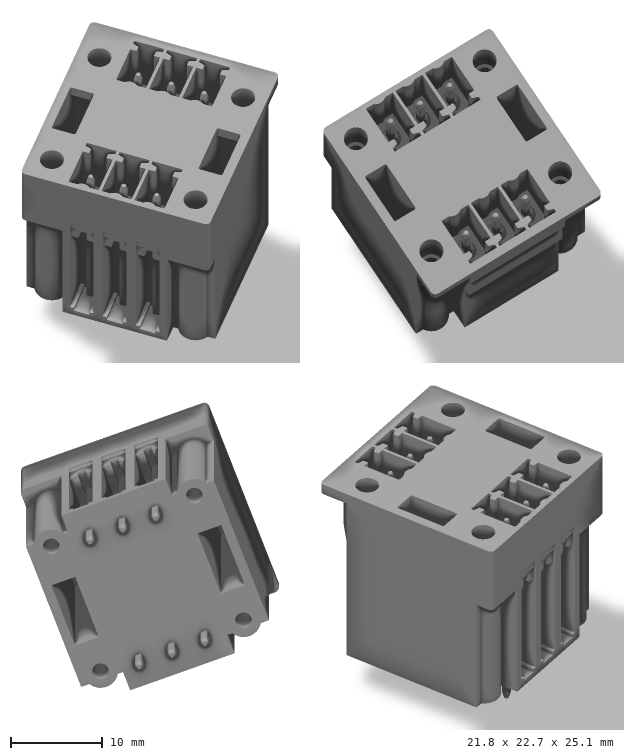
import cadquery as cq


width = 21.8
depth = 22.7
height = 21.8
pin_drop = 3.3
corner_radius = 0.55
flange_thickness = 1.28
flange_bottom = height - flange_thickness

pitch = 3.82
row_spacing = 4 * pitch
front_row_y = 2.9
rear_row_y = front_row_y + row_spacing
row_ys = (front_row_y, rear_row_y)
column_xs = (-pitch, 0, pitch)

side_front_y = 2.03
side_rear_y = 19.13
overhang_bottom = 13.9
centre_width = 12.1
centre_rear_y = 21.35
rear_rib_y = 22.25
rear_rib_bottom = 12.65
rear_lip_bottom = 18.27
rear_rib_radius = 0.58
rear_lip_radius = 0.2

screw_x = 8.3
boss_radius = 1.9
head_boss_radius = 2.59
head_boss_bottom = 16.82
taper_bottom = 11.7
screw_hole_radius = 0.9
counterbore_radius = 1.3

window_width = 2.75
window_length = 6.1
window_x = 8.48
window_y = 10.15
window_radius = 0.2
window_undercut = 1.25

pocket_floor = 14.73
pocket_half_width = 1.73
pocket_front = 2.3
pocket_back = 3.51
key_reach = 0.73
key_back_at_wall = 0.4
key_back_at_tip = 0.65
key_front = 1.28
bump_half_width = 0.73
bump_height = 0.28
cone_base_radius = 1.15
cone_shoulder_radius = 0.85
cone_top_radius = 0.68
cone_shoulder_height = 0.6
cone_height = 0.75

slot_width = 2.75
slot_bottom = 1.15
slot_top = 15.59
ledge_bottom = 14.73
ledge_depth = 0.13
slot_ceiling = 12.95
recess_depth = 0.35
groove_width = 1.83
groove_bottom = 0.73
notch_width = 0.9
notch_top = 14.15
notch_chamfer = 0.18

pin_width = 0.78
pin_length = 0.85
pin_chamfer = 0.13
pin_top = 20.8
tip_height = 0.8
tip_radius = 0.25
tip_base_radius = 0.5
pin_gap = 0.23
slot_depth = front_row_y + pin_length / 2 + pin_gap


def block(x_centre, x_size, y_front, y_back, z_bottom, z_top):
    """Box centred in X and given by its limits in Y and Z."""
    size_y = y_back - y_front
    size_z = z_top - z_bottom
    corner = (x_centre - x_size / 2, y_front, z_bottom)
    return cq.Workplane("XY").box(x_size, size_y, size_z, centered=False).translate(corner)


def cylinder(x, y, radius, z_bottom, z_top):
    base = cq.Workplane("XY", origin=(x, y, z_bottom))
    return base.circle(radius).extrude(z_top - z_bottom)


def cone(x, y, bottom_radius, top_radius, z_bottom, z_top):
    """Upright truncated cone."""
    solid = cq.Solid.makeCone(
        bottom_radius, top_radius, z_top - z_bottom, pnt=cq.Vector(x, y, z_bottom)
    )
    return cq.Workplane("XY").newObject([solid])


def pin_bar(x, y, z_bottom, z_top):
    """Rectangular bar with chamfered corners, the section shared by a pin and its hole."""
    base = cq.Workplane("XY", origin=(x, y, z_bottom))
    return base.rect(pin_width, pin_length).extrude(z_top - z_bottom).edges("|Z").chamfer(pin_chamfer)


def make_shell():
    """Outer walls: side walls, flange, overhanging front block and centre block."""
    sides = block(0, width, side_front_y, side_rear_y, 0, height)
    flange = block(0, width, 0, depth, flange_bottom, height).edges("|Z").fillet(corner_radius)
    front_block = block(0, width, 0, side_rear_y, overhang_bottom, height)
    front_block = front_block.edges("|Z and <Y").fillet(corner_radius)
    centre = block(0, centre_width, 0, centre_rear_y, 0, height)
    rib = block(0, centre_width, side_rear_y, rear_rib_y, rear_rib_bottom, height)
    rib = rib.edges("|X and >Y and <Z").fillet(rear_rib_radius)
    lip = block(0, centre_width, side_rear_y, depth, rear_lip_bottom, height)
    lip = lip.edges("|X and >Y and <Z").fillet(rear_lip_radius)
    return sides.union(flange).union(front_block).union(centre).union(rib).union(lip)


def add_screw_bosses(body):
    for x in (-screw_x, screw_x):
        for y in row_ys:
            body = body.union(cylinder(x, y, boss_radius, 0, flange_bottom))
        body = body.union(cone(x, rear_row_y, boss_radius, head_boss_radius, taper_bottom, head_boss_bottom))
        body = body.union(cylinder(x, rear_row_y, head_boss_radius, head_boss_bottom, flange_bottom))
    return body


def cut_screw_holes(body):
    for x in (-screw_x, screw_x):
        for y in row_ys:
            body = body.cut(cylinder(x, y, screw_hole_radius, 0, height))
            body = body.cut(cylinder(x, y, counterbore_radius, head_boss_bottom, height))
    return body


def cut_windows(body):
    """Side windows, rounded in the flange and running on below it as longer sharp-cornered shafts."""
    front = window_y - window_length / 2
    back = window_y + window_length / 2
    for x in (-window_x, window_x):
        in_flange = block(x, window_width, front, back, flange_bottom, height)
        body = body.cut(in_flange.edges("|Z").fillet(window_radius))
        body = body.cut(block(x, window_width, front, back + window_undercut, 0, flange_bottom))
    return body


def make_pocket(x, y):
    """Keyed plug pocket around one pin, leaving a two-step cone standing around the pin hole."""
    key_x = pocket_half_width - key_reach
    outline = (
        cq.Workplane("XY", origin=(x, y, pocket_floor))
        .moveTo(-pocket_half_width, -pocket_front)
        .lineTo(-bump_half_width, -pocket_front)
        .threePointArc((0, bump_height - pocket_front), (bump_half_width, -pocket_front))
        .lineTo(pocket_half_width, -pocket_front)
        .lineTo(pocket_half_width, pocket_back - key_front)
        .lineTo(key_x, pocket_back - key_front)
        .lineTo(key_x, pocket_back - key_back_at_tip)
        .lineTo(pocket_half_width, pocket_back - key_back_at_wall)
        .lineTo(pocket_half_width, pocket_back)
        .lineTo(-pocket_half_width, pocket_back)
        .lineTo(-pocket_half_width, pocket_back - key_back_at_wall)
        .lineTo(-key_x, pocket_back - key_back_at_tip)
        .lineTo(-key_x, pocket_back - key_front)
        .lineTo(-pocket_half_width, pocket_back - key_front)
        .close()
    )
    pocket = outline.extrude(height - pocket_floor)
    shoulder = pocket_floor + cone_shoulder_height
    top = pocket_floor + cone_height
    flank = cone(x, y, cone_base_radius, cone_shoulder_radius, pocket_floor, shoulder)
    crown = cone(x, y, cone_shoulder_radius, cone_top_radius, shoulder, top)
    return pocket.cut(flank.union(crown))


def make_slot(x):
    """Front slot: deep lower part, stepped recess above it, floor groove and pin notch."""
    slot = block(x, slot_width, 0, slot_depth, slot_bottom, slot_ceiling)
    slot = slot.union(block(x, slot_width, 0, recess_depth, slot_bottom, ledge_bottom))
    slot = slot.union(block(x, slot_width, 0, ledge_depth, slot_bottom, slot_top))
    slot = slot.union(block(x, groove_width, 0, slot_depth, groove_bottom, slot_ceiling))
    half_notch = notch_width / 2
    half_mouth = half_notch + notch_chamfer
    notch = (
        cq.Workplane("XZ", origin=(x, 0, slot_ceiling))
        .moveTo(-half_mouth, 0)
        .lineTo(half_mouth, 0)
        .lineTo(half_notch, notch_chamfer)
        .lineTo(half_notch, notch_top - slot_ceiling)
        .lineTo(-half_notch, notch_top - slot_ceiling)
        .lineTo(-half_notch, notch_chamfer)
        .close()
        .extrude(-slot_depth)
    )
    return slot.union(notch)


def make_pin_hole(x, y):
    """Close-fitting hole for one pin, with a gap behind it through the pocket floor."""
    hole = pin_bar(x, y, 0, height)
    gap_back = y + pin_length / 2 + pin_gap
    return hole.union(block(x, notch_width, y + pin_length / 2, gap_back, slot_ceiling, height))


def make_housing():
    body = cut_windows(cut_screw_holes(add_screw_bosses(make_shell())))
    for x in column_xs:
        body = body.cut(make_slot(x))
        for y in row_ys:
            body = body.cut(make_pocket(x, y))
            body = body.cut(make_pin_hole(x, y))
    return body


def make_pin(x, y):
    """Straight contact pin with a conical tip at each end."""
    bar = pin_bar(x, y, -pin_drop, pin_top)
    lower_tip = cone(x, y, tip_radius, tip_base_radius, -pin_drop, tip_height - pin_drop)
    upper_tip = cone(x, y, tip_base_radius, tip_radius, pin_top - tip_height, pin_top)
    middle = cylinder(x, y, tip_base_radius, tip_height - pin_drop, pin_top - tip_height)
    return bar.intersect(lower_tip.union(middle).union(upper_tip))


housing = make_housing()
pins = [make_pin(x, y) for y in row_ys for x in column_xs]

result = cq.Compound.makeCompound([housing.val(), *[pin.val() for pin in pins]])